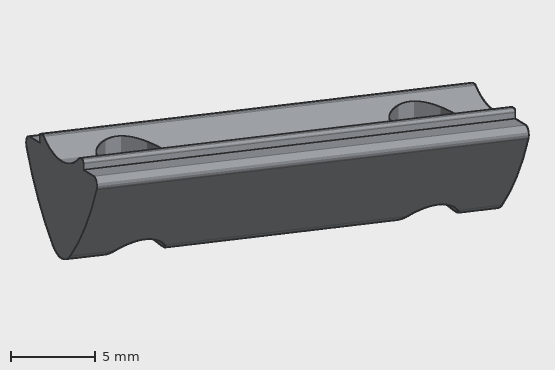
import cadquery as cq
import math

LENGTH = 28.0
WIDTH = 10.5
HEIGHT = 6.9

RAIL_HEIGHT = 0.6
RAILS_WIDTH = 6.5
RAIL_EDGE_RADIUS = 0.2

GROOVE_RADIUS = 4.5
GROOVE_DEPTH = 0.9

SHOULDER_RADIUS = 0.5
FLANK_RADIUS = 16.0
KEEL_RADIUS = 2.0

HOLE_DIAMETER = 4.13
HOLE_SPACING = 19.0

SHOULDER_Z = HEIGHT - RAIL_HEIGHT
RAIL_X = RAILS_WIDTH / 2

GROOVE_CENTER = (0, HEIGHT - GROOVE_DEPTH + GROOVE_RADIUS)
SHOULDER_CENTER = (WIDTH / 2 - SHOULDER_RADIUS, SHOULDER_Z - SHOULDER_RADIUS)
KEEL_CENTER = (0, KEEL_RADIUS)
OUTER_EDGE_CENTER = (RAIL_X - RAIL_EDGE_RADIUS, HEIGHT - RAIL_EDGE_RADIUS)


def polar(center, radius, angle):
    return (center[0] + radius * math.cos(angle), center[1] + radius * math.sin(angle))


def angle_between(start, end):
    """Direction from start to end, in radians."""
    return math.atan2(end[1] - start[1], end[0] - start[0])


def inner_edge_center():
    """Centre of the rounding that touches the rail top and the groove."""
    z = HEIGHT - RAIL_EDGE_RADIUS
    x = math.sqrt((GROOVE_RADIUS + RAIL_EDGE_RADIUS) ** 2 - (GROOVE_CENTER[1] - z) ** 2)
    return (x, z)


def flank_center():
    """Centre of the flank arc that encloses and touches the shoulder and keel arcs."""
    to_shoulder = FLANK_RADIUS - SHOULDER_RADIUS
    to_keel = FLANK_RADIUS - KEEL_RADIUS
    span = math.dist(SHOULDER_CENTER, KEEL_CENTER)
    corner_cosine = (to_shoulder**2 + span**2 - to_keel**2) / (2 * to_shoulder * span)
    direction = angle_between(SHOULDER_CENTER, KEEL_CENTER) - math.acos(corner_cosine)
    return polar(SHOULDER_CENTER, to_shoulder, direction)


def half_profile():
    """Closed +X half of the cross-section, in the XZ plane."""
    edge_center = inner_edge_center()
    groove_end_angle = angle_between(GROOVE_CENTER, edge_center)
    groove_mid_angle = (groove_end_angle - math.pi / 2) / 2
    edge_start_angle = groove_end_angle + math.pi
    edge_mid_angle = (edge_start_angle + math.pi / 2) / 2

    flank = flank_center()
    flank_start_angle = angle_between(flank, SHOULDER_CENTER)
    flank_end_angle = angle_between(flank, KEEL_CENTER)
    flank_mid_angle = (flank_start_angle + flank_end_angle) / 2
    shoulder_mid_angle = (math.pi / 2 + flank_start_angle) / 2
    keel_mid_angle = (flank_end_angle - math.pi / 2) / 2

    return (
        cq.Workplane("XZ")
        .moveTo(0, HEIGHT - GROOVE_DEPTH)
        .threePointArc(
            polar(GROOVE_CENTER, GROOVE_RADIUS, groove_mid_angle),
            polar(GROOVE_CENTER, GROOVE_RADIUS, groove_end_angle),
        )
        .threePointArc(
            polar(edge_center, RAIL_EDGE_RADIUS, edge_mid_angle),
            (edge_center[0], HEIGHT),
        )
        .lineTo(OUTER_EDGE_CENTER[0], HEIGHT)
        .threePointArc(
            polar(OUTER_EDGE_CENTER, RAIL_EDGE_RADIUS, math.pi / 4),
            (RAIL_X, OUTER_EDGE_CENTER[1]),
        )
        .lineTo(RAIL_X, SHOULDER_Z)
        .lineTo(SHOULDER_CENTER[0], SHOULDER_Z)
        .threePointArc(
            polar(SHOULDER_CENTER, SHOULDER_RADIUS, shoulder_mid_angle),
            polar(SHOULDER_CENTER, SHOULDER_RADIUS, flank_start_angle),
        )
        .threePointArc(
            polar(flank, FLANK_RADIUS, flank_mid_angle),
            polar(KEEL_CENTER, KEEL_RADIUS, flank_end_angle),
        )
        .threePointArc(
            polar(KEEL_CENTER, KEEL_RADIUS, keel_mid_angle),
            (0, 0),
        )
        .close()
    )


def make_bar():
    half = half_profile().extrude(LENGTH / 2, both=True)
    return half.union(half.mirror("YZ")).clean()


def make_holes():
    return (
        cq.Workplane("XY")
        .pushPoints([(0, -HOLE_SPACING / 2), (0, HOLE_SPACING / 2)])
        .circle(HOLE_DIAMETER / 2)
        .extrude(HEIGHT)
    )


result = make_bar().cut(make_holes())